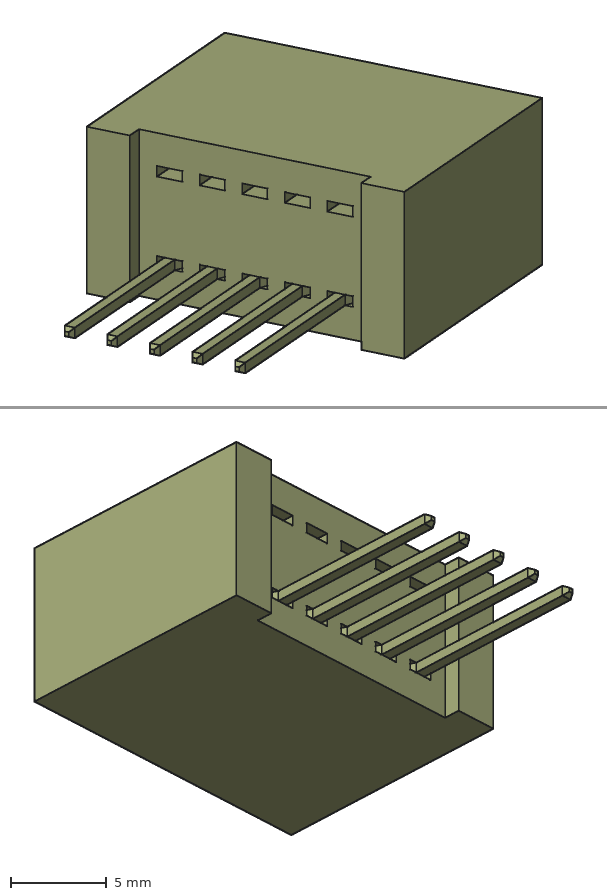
import cadquery as cq

housing_width = 18.95
housing_depth = 15.0
housing_height = 9.4
leg_width = 2.57
leg_projection = 1.0

contact_count = 5
contact_pitch = 2.55
row_spacing = 2 * contact_pitch
slot_width = 1.5
stock_thickness = 0.6

overall_length = 25.15
blade_width = 1.28
shoulder_length = 0.75
tip_length = 0.33
tip_inset = 0.18

pin_face_y = leg_projection - housing_depth
upper_row_z = row_spacing / 2
lower_row_z = -row_spacing / 2
contact_xs = [(i - (contact_count - 1) / 2) * contact_pitch for i in range(contact_count)]


def make_housing():
    """Block with a recessed pin face and two rows of slots running right through."""
    body = cq.Workplane("XY").box(
        housing_width, housing_depth, housing_height, centered=(True, False, True)
    ).translate((0, -housing_depth, 0))
    recess = cq.Workplane("XY").box(
        housing_width - 2 * leg_width, leg_projection, housing_height, centered=(True, False, True)
    ).translate((0, -housing_depth, 0))
    slot_centres = [(x, z) for x in contact_xs for z in (lower_row_z, upper_row_z)]
    slots = (
        cq.Workplane("XZ")
        .pushPoints(slot_centres)
        .rect(slot_width, stock_thickness)
        .extrude(housing_depth)
    )
    return body.cut(recess).cut(slots)


def make_contact(x):
    """Flat contact in the lower row at the given X, from the rear face to the pin tip."""
    half_blade = blade_width / 2
    half_pin = stock_thickness / 2
    shoulder_back_y = pin_face_y + shoulder_length
    tip_start_y = tip_length - overall_length
    blade = (
        cq.Workplane("XY")
        .polyline([
            (-half_blade, 0),
            (-half_blade, shoulder_back_y),
            (-half_pin, pin_face_y),
            (-half_pin, tip_start_y),
            (half_pin, tip_start_y),
            (half_pin, pin_face_y),
            (half_blade, shoulder_back_y),
            (half_blade, 0),
        ])
        .close()
        .extrude(half_pin, both=True)
    )
    tip_end = stock_thickness - 2 * tip_inset
    tip = (
        cq.Workplane("XZ", origin=(0, tip_start_y, 0))
        .rect(stock_thickness, stock_thickness)
        .workplane(offset=tip_length)
        .rect(tip_end, tip_end)
        .loft(ruled=True)
    )
    return blade.union(tip).translate((x, 0, lower_row_z))


housing = make_housing()
contacts = [make_contact(x) for x in contact_xs]

result = cq.Compound.makeCompound([housing.val(), *[contact.val() for contact in contacts]])